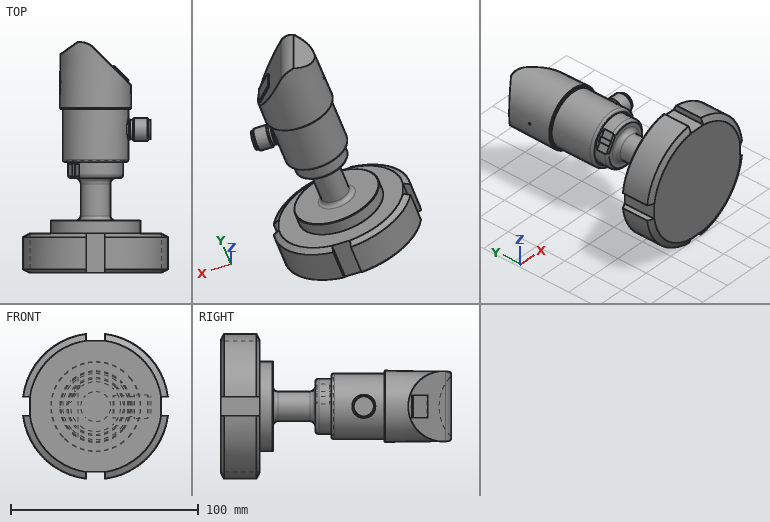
import cadquery as cq
import math


CUT_CLEARANCE = 1.0

NUT_RADIUS = 39.0
NUT_LENGTH = 21.0
NUT_CHAMFER_LENGTH = 1.9
SLOT_WIDTH = 10.0
SLOT_FLOOR = 35.0
SLOT_COUNT = 4
NUT_FACE_RADIUS = math.hypot(SLOT_FLOOR, SLOT_WIDTH / 2)

FLANGE_RADIUS = 24.0
FLANGE_TOP = 28.0
FLANGE_CHAMFER = 0.3

NECK_RADIUS = 8.0
NECK_LOWER_FILLET = 2.5
NECK_UPPER_FILLET = 2.9

COLLAR_RADIUS = 14.8
COLLAR_BOTTOM = 50.5
COLLAR_ROUND_LENGTH = 1.9
COLLAR_ROUND_INSET = 1.5
FLAT_ANGLE = 150.0
FLAT_DISTANCE = 13.5
FLAT_TOP = 57.9
FLAT_EDGE_CHAMFER = 0.9
FLAT_GROOVE_WIDTH = 3.0
FLAT_GROOVE_DEPTH = 0.15
FLAT_GROOVE_OVERRUN = 0.45

HOUSING_RADIUS = 17.6
HOUSING_BOTTOM = 59.0
HOUSING_ROUND_LENGTH = 1.6
HOUSING_ROUND_INSET = 1.3
GAP_OUTER_RADIUS = 15.5
GAP_DEPTH = 1.0

CAP_BOTTOM = 87.3
CAP_BOTTOM_RADIUS = 19.15
CAP_TOP_RADIUS = 18.75
CAP_EDGE_CHAMFER = 0.6
CAP_TOP = 123.16
RIDGE_X = -9.4
RIDGE_FLAT = 0.7
REAR_SLOPE = 35.5
FACE_SLOPE = 45.0
RIDGE_RADIUS = 11.1

PLATE_LENGTH = 11.0
PLATE_WIDTH = 12.0
PLATE_HEIGHT = 0.9
PLATE_CENTRE_X = 13.1

DIMPLE_Y = 101.8
DIMPLE_DIAMETER = 1.0
DIMPLE_DEPTH = 0.5

CONNECTOR_Y = 76.4
CONNECTOR_NECK_RADIUS = 5.3
CONNECTOR_BASE_RADIUS = 5.85
CONNECTOR_RING_RADIUS = 6.25
CONNECTOR_ROOT_X = 10.0
BASE_END_X = 17.6
RING_START_X = 20.6
RING_END_X = 27.6
CONNECTOR_END_X = 29.5
CONNECTOR_CHAMFER = 0.8


def cylinder_y(radius, start, end):
    """Cylinder on the Y axis between two Y positions."""
    return cq.Workplane("XZ", origin=(0, start, 0)).circle(radius).extrude(start - end)


def rounded_barrel(radius, start, end, round_length, round_inset):
    """Cylinder on the Y axis whose start edge is an arc tangent to the side only."""
    arc_radius = (round_length**2 + round_inset**2) / (2 * round_inset)
    profile = (
        cq.Workplane("XY")
        .moveTo(0, start)
        .lineTo(radius - round_inset, start)
        .radiusArc((radius, start + round_length), -arc_radius)
        .lineTo(radius, end)
        .lineTo(0, end)
        .close()
    )
    return profile.revolve(360, (0, 0), (0, 1))


def make_nut():
    profile = [
        (0, 0),
        (NUT_FACE_RADIUS, 0),
        (NUT_RADIUS, NUT_CHAMFER_LENGTH),
        (NUT_RADIUS, NUT_LENGTH - NUT_CHAMFER_LENGTH),
        (NUT_FACE_RADIUS, NUT_LENGTH),
        (0, NUT_LENGTH),
    ]
    nut = cq.Workplane("XY").polyline(profile).close().revolve(360, (0, 0), (0, 1))
    slot = cq.Workplane("XY").box(
        2 * (NUT_RADIUS - SLOT_FLOOR), NUT_LENGTH, SLOT_WIDTH, centered=(False, False, True)
    ).translate((SLOT_FLOOR, 0, 0))
    for index in range(SLOT_COUNT):
        nut = nut.cut(slot.rotate((0, 0, 0), (0, 1, 0), index * 360 / SLOT_COUNT))
    return nut


def make_flange():
    flange = cylinder_y(FLANGE_RADIUS, NUT_LENGTH, FLANGE_TOP)
    return flange.faces(">Y").chamfer(FLANGE_CHAMFER)


def make_neck():
    """Neck with a concave fillet at each end."""
    lower, upper = NECK_LOWER_FILLET, NECK_UPPER_FILLET
    neck = (
        cq.Workplane("XY")
        .moveTo(0, FLANGE_TOP)
        .lineTo(NECK_RADIUS + lower, FLANGE_TOP)
        .radiusArc((NECK_RADIUS, FLANGE_TOP + lower), lower)
        .lineTo(NECK_RADIUS, COLLAR_BOTTOM - upper)
        .radiusArc((NECK_RADIUS + upper, COLLAR_BOTTOM), upper)
        .lineTo(0, COLLAR_BOTTOM)
        .close()
    )
    return neck.revolve(360, (0, 0), (0, 1))


def make_collar():
    collar = rounded_barrel(
        COLLAR_RADIUS,
        COLLAR_BOTTOM,
        HOUSING_BOTTOM + GAP_DEPTH,
        COLLAR_ROUND_LENGTH,
        COLLAR_ROUND_INSET,
    )

    beyond = COLLAR_RADIUS + CUT_CLEARANCE
    flat_profile = [
        (FLAT_DISTANCE - FLAT_EDGE_CHAMFER, COLLAR_BOTTOM),
        (FLAT_DISTANCE, COLLAR_BOTTOM + FLAT_EDGE_CHAMFER),
        (FLAT_DISTANCE, FLAT_TOP),
        (beyond, FLAT_TOP + beyond - FLAT_DISTANCE),
        (beyond, COLLAR_BOTTOM),
    ]
    flat = (
        cq.Workplane("XY").polyline(flat_profile).close()
        .extrude(COLLAR_RADIUS, both=True)
    )
    groove_start = COLLAR_BOTTOM + FLAT_EDGE_CHAMFER
    groove_length = FLAT_TOP + FLAT_GROOVE_OVERRUN - groove_start
    groove = cq.Workplane("XY").box(
        beyond - FLAT_DISTANCE, groove_length, FLAT_GROOVE_WIDTH, centered=(False, False, True)
    ).translate((FLAT_DISTANCE - FLAT_GROOVE_DEPTH, groove_start, 0))
    cutter = flat.union(groove).rotate((0, 0, 0), (0, 1, 0), -FLAT_ANGLE)
    return collar.cut(cutter)


def make_housing():
    """Housing barrel with an annular gap around the top of the collar."""
    housing = rounded_barrel(
        HOUSING_RADIUS,
        HOUSING_BOTTOM,
        CAP_BOTTOM,
        HOUSING_ROUND_LENGTH,
        HOUSING_ROUND_INSET,
    )
    recess = cylinder_y(GAP_OUTER_RADIUS, HOUSING_BOTTOM, HOUSING_BOTTOM + GAP_DEPTH)
    return housing.cut(recess)


def make_cap():
    """Tapered cap trimmed by an outline that slopes down on both sides of the ridge."""
    barrel_profile = [
        (0, CAP_BOTTOM),
        (CAP_BOTTOM_RADIUS - CAP_EDGE_CHAMFER, CAP_BOTTOM),
        (CAP_BOTTOM_RADIUS, CAP_BOTTOM + CAP_EDGE_CHAMFER),
        (CAP_TOP_RADIUS, CAP_TOP),
        (0, CAP_TOP),
    ]
    barrel = cq.Workplane("XY").polyline(barrel_profile).close().revolve(360, (0, 0), (0, 1))

    reach = CAP_BOTTOM_RADIUS + CUT_CLEARANCE
    rear_y = CAP_TOP - (reach + RIDGE_X) * math.tan(math.radians(REAR_SLOPE))
    face_x, face_y = display_face_start()
    front_y = face_y - (reach - face_x) * math.tan(math.radians(FACE_SLOPE))
    outline = (
        cq.Workplane("XY")
        .moveTo(-reach, CAP_BOTTOM)
        .lineTo(-reach, rear_y)
        .lineTo(RIDGE_X, CAP_TOP)
        .lineTo(RIDGE_X + RIDGE_FLAT, CAP_TOP)
        .radiusArc((face_x, face_y), RIDGE_RADIUS)
        .lineTo(reach, front_y)
        .lineTo(reach, CAP_BOTTOM)
        .close()
        .extrude(reach, both=True)
    )
    dimple = (
        cq.Workplane("YZ", origin=(-reach, DIMPLE_Y, 0))
        .circle(DIMPLE_DIAMETER / 2)
        .extrude(reach - CAP_TOP_RADIUS + DIMPLE_DEPTH)
    )
    return barrel.intersect(outline).cut(dimple)


def display_face_start():
    """Point where the ridge rounding runs tangentially into the display face."""
    slope = math.radians(FACE_SLOPE)
    x = RIDGE_X + RIDGE_FLAT + RIDGE_RADIUS * math.sin(slope)
    y = CAP_TOP - RIDGE_RADIUS * (1 - math.cos(slope))
    return x, y


def make_display_plate():
    face_x, face_y = display_face_start()
    centre_y = face_y - (PLATE_CENTRE_X - face_x) * math.tan(math.radians(FACE_SLOPE))
    plate = cq.Workplane("XY").box(PLATE_LENGTH, 2 * PLATE_HEIGHT, PLATE_WIDTH)
    plate = plate.rotate((0, 0, 0), (0, 0, 1), -FACE_SLOPE)
    return plate.translate((PLATE_CENTRE_X, centre_y, 0))


def make_connector():
    profile = [
        (CONNECTOR_ROOT_X, 0),
        (CONNECTOR_ROOT_X, CONNECTOR_BASE_RADIUS),
        (BASE_END_X, CONNECTOR_BASE_RADIUS),
        (BASE_END_X + CONNECTOR_CHAMFER, CONNECTOR_NECK_RADIUS),
        (RING_START_X - CONNECTOR_CHAMFER, CONNECTOR_NECK_RADIUS),
        (RING_START_X, CONNECTOR_RING_RADIUS),
        (RING_END_X, CONNECTOR_RING_RADIUS),
        (RING_END_X + CONNECTOR_CHAMFER, CONNECTOR_NECK_RADIUS),
        (CONNECTOR_END_X, CONNECTOR_NECK_RADIUS),
        (CONNECTOR_END_X, 0),
    ]
    connector = cq.Workplane("XY").polyline(profile).close().revolve(360, (0, 0), (1, 0))
    return connector.translate((0, CONNECTOR_Y, 0))


result = make_nut()
for section in (
    make_flange(),
    make_neck(),
    make_collar(),
    make_housing(),
    make_cap(),
    make_display_plate(),
    make_connector(),
):
    result = result.union(section)